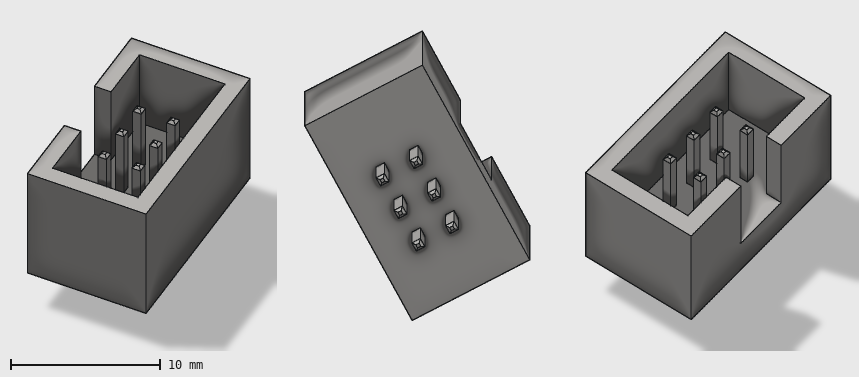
import cadquery as cq

body_width = 8.9
body_length = 15.24
body_height = 8.9
wall = 1.25
floor_thickness = 2.8

notch_width = 4.4

pin_columns = 2
pin_rows = 3
pin_pitch = 2.55
pin_side = 0.64
tip_side = 0.25
tip_height = 0.2
pin_below_body = 3.0
pin_top_recess = 0.9

cavity_depth = body_height - floor_thickness
pin_top = body_height - pin_top_recess


def make_shroud():
    """Open-topped box standing on Z = 0, with the notch cut in its -X wall."""
    box = cq.Workplane("XY").box(body_width, body_length, body_height, centered=(True, True, False))
    cavity = (
        cq.Workplane("XY")
        .workplane(offset=floor_thickness)
        .rect(body_width - 2 * wall, body_length - 2 * wall)
        .extrude(cavity_depth)
    )
    notch = (
        cq.Workplane("XY")
        .workplane(offset=floor_thickness)
        .center((wall - body_width) / 2, 0)
        .rect(wall, notch_width)
        .extrude(cavity_depth)
    )
    return box.cut(cavity).cut(notch)


def make_tip(base_z, end_z):
    """Square frustum narrowing from the pin side at base_z to the tip side at end_z."""
    return (
        cq.Workplane("XY")
        .workplane(offset=base_z)
        .rect(pin_side, pin_side)
        .workplane(offset=end_z - base_z)
        .rect(tip_side, tip_side)
        .loft(ruled=True)
    )


def make_pin():
    """One pin on the Z axis, passing through the floor of the shroud."""
    shank_bottom = tip_height - pin_below_body
    shank_top = pin_top - tip_height
    shank = (
        cq.Workplane("XY")
        .workplane(offset=shank_bottom)
        .rect(pin_side, pin_side)
        .extrude(shank_top - shank_bottom)
    )
    lower_tip = make_tip(shank_bottom, -pin_below_body)
    upper_tip = make_tip(shank_top, pin_top)
    return shank.union(lower_tip).union(upper_tip)


result = make_shroud()
pin = make_pin()
for column in range(pin_columns):
    for row in range(pin_rows):
        pin_x = (column - (pin_columns - 1) / 2) * pin_pitch
        pin_y = (row - (pin_rows - 1) / 2) * pin_pitch
        result = result.union(pin.translate((pin_x, pin_y, 0)))